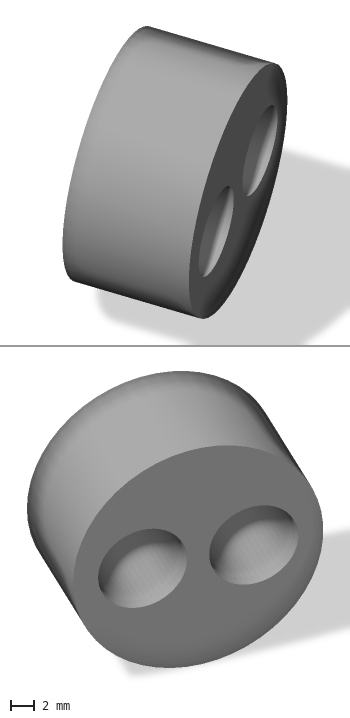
import cadquery as cq

disc_diameter = 22.5
disc_length = 11.5
hole_diameter = 8.0
hole_spacing = 10.0

disc = cq.Workplane("YZ").circle(disc_diameter / 2).extrude(disc_length)

hole_centres = [(side * hole_spacing / 2, 0) for side in (-1, 1)]
holes = (
    cq.Workplane("YZ")
    .pushPoints(hole_centres)
    .circle(hole_diameter / 2)
    .extrude(disc_length)
)

result = disc.cut(holes)